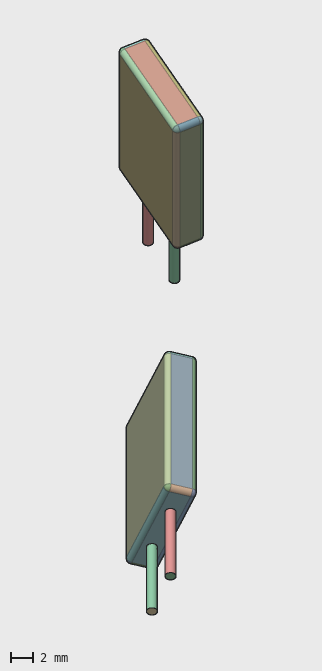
import cadquery as cq

total_height = 24.13
body_width = 11.17
body_depth = 3.05
body_height = 16.5
edge_radius = 0.5
lead_diameter = 1.0
lead_spacing = 5.05

lead_length = total_height - body_height
lead_embed = edge_radius


def make_body():
    """Upright block with every edge rounded, its underside at Z = 0."""
    block = cq.Workplane("XY").box(body_width, body_depth, body_height, centered=(True, True, False))
    return block.edges().fillet(edge_radius)


def make_leads():
    """Two round leads hanging below the body, spaced along X."""
    return (
        cq.Workplane("XY")
        .workplane(offset=-lead_length)
        .rarray(lead_spacing, 0.25, 2, 1)
        .circle(lead_diameter / 2)
        .extrude(lead_length + lead_embed)
    )


result = make_body().union(make_leads())